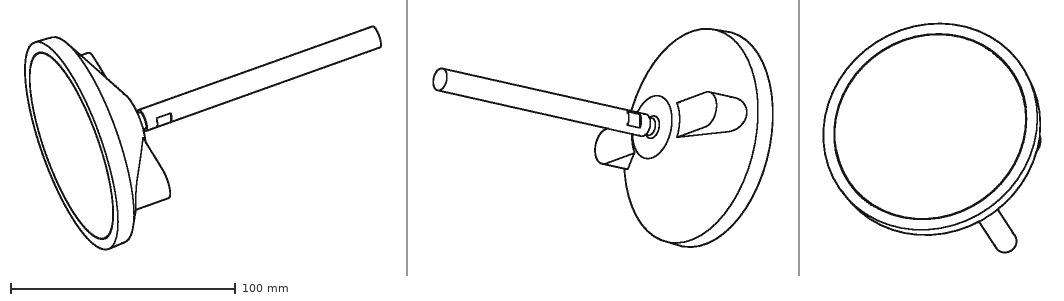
import cadquery as cq

total_length = 150.0

foot_diameter = 98.0
rim_top_diameter = 97.0
rim_height = 8.1
foot_height = 30.0
foot_top_diameter = 28.5

groove_outer_diameter = 88.0
groove_inner_diameter = 87.5
groove_depth = 2.0

bar_length = 88.0
bar_width = 16.0
bar_top = 28.0

ball_diameter = 12.5
ball_center = 26.4
neck_diameter = 7.8
stem_diameter = 10.0
stem_start = 35.0

flat_start = 40.0
flat_length = 7.0
across_flats = 7.8


def plane_at(y):
    """Plane with its normal along +Y and its local x along +X."""
    return cq.Plane(origin=(0, y, 0), xDir=(1, 0, 0), normal=(0, 1, 0))


def cylinder(diameter, start, end):
    return cq.Workplane(plane_at(start)).circle(diameter / 2).extrude(end - start)


def make_foot():
    return (
        cq.Workplane("XY")
        .lineTo(foot_diameter / 2, 0)
        .lineTo(rim_top_diameter / 2, rim_height)
        .lineTo(foot_top_diameter / 2, foot_height)
        .lineTo(0, foot_height)
        .close()
        .revolve(360, (0, 0, 0), (0, 1, 0))
    )


def make_bar():
    bar_bottom = rim_height / 2
    return cq.Workplane(plane_at(bar_bottom)).slot2D(bar_length, bar_width).extrude(bar_top - bar_bottom)


def make_groove():
    outer = cylinder(groove_outer_diameter, 0, groove_depth)
    return outer.cut(cylinder(groove_inner_diameter, 0, groove_depth))


def make_stem():
    stem = cylinder(stem_diameter, stem_start, total_length)
    for side in (-1, 1):
        cutter = cq.Workplane("XY").box(stem_diameter, flat_length, stem_diameter)
        offset = side * (across_flats + stem_diameter) / 2
        stem = stem.cut(cutter.translate((offset, flat_start + flat_length / 2, 0)))
    return stem


ball = cq.Workplane("XY").sphere(ball_diameter / 2).translate((0, ball_center, 0))
neck = cylinder(neck_diameter, ball_center, stem_start)

result = make_foot().union(make_bar()).cut(make_groove())
result = result.union(ball).union(neck).union(make_stem())